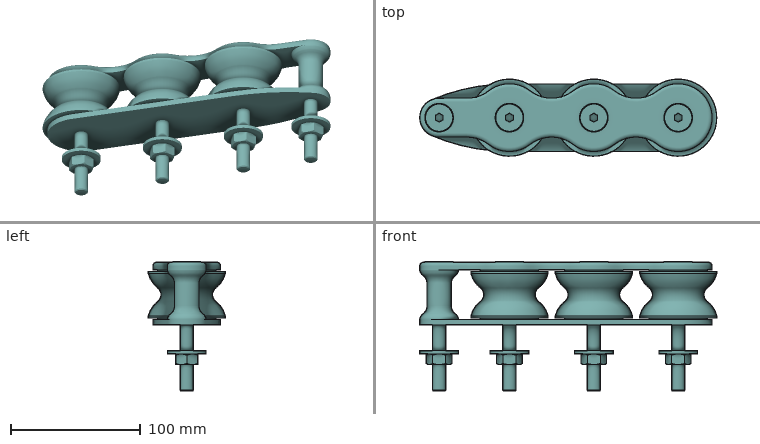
import cadquery as cq
import math

end_diameter = 30.0
roller_diameter = 59.5
overall_length = 228.8
roller_pitch = 65.0
roller_count = 3
pin_x = end_diameter / 2
last_roller_x = overall_length - roller_diameter / 2
roller_xs = [last_roller_x - roller_pitch * i for i in reversed(range(roller_count))]
first_roller_x = roller_xs[0]
stud_xs = [pin_x] + roller_xs

plate_half_width = 26.0
base_thickness = 4.1
plate_gap = 38.2
cover_thickness = 6.0
cover_edge_radius = 3.0
cover_bottom = base_thickness + plate_gap
cover_top = cover_bottom + cover_thickness
gap_middle = base_thickness + plate_gap / 2

roller_height = 36.0
rim_height = 1.5
waist_diameter = 39.8
waist_radius = 6.9
waist_angle = math.radians(53)
spacer_diameter = 45.0

pin_diameter = 19.0
pin_straight_height = 18.0
pin_cove_radius = 6.9
pin_flange_height = 0.5
pin_cove_angle = math.radians(54)

stud_diameter = 10.3
stud_length = 51.0
stud_tip_chamfer = 0.7
head_diameter = 22.0
head_rise = 0.7
head_edge_chamfer = 0.5
socket_across_flats = 6.0
socket_depth = 4.5
washer_thickness = 2.5
washer_top = -20.0
nut_across_corners = 20.0
nut_height = 8.2
nut_chamfer_width = 1.4
nut_chamfer_height = 1.0


def across_corners(across_flats):
    return across_flats / math.cos(math.pi / 6)


def base_plate():
    """Flat plate whose sides sweep from the rollers' width down to the guide pin end."""
    end_radius = end_diameter / 2
    run = first_roller_x - pin_x
    width_drop = plate_half_width - end_radius
    side_radius = (run**2 + width_drop**2) / (2 * width_drop)
    side_radius += end_radius
    side_center_y = plate_half_width - side_radius
    lean = math.atan2(run, -side_center_y)
    touch_x = pin_x - end_radius * math.sin(lean)
    touch_y = end_radius * math.cos(lean)
    side_mid_x = first_roller_x - side_radius * math.sin(lean / 2)
    side_mid_y = side_center_y + side_radius * math.cos(lean / 2)
    return (
        cq.Workplane("XY")
        .moveTo(touch_x, touch_y)
        .threePointArc((side_mid_x, side_mid_y), (first_roller_x, plate_half_width))
        .lineTo(last_roller_x, plate_half_width)
        .threePointArc((last_roller_x + plate_half_width, 0), (last_roller_x, -plate_half_width))
        .lineTo(first_roller_x, -plate_half_width)
        .threePointArc((side_mid_x, -side_mid_y), (touch_x, -touch_y))
        .threePointArc((pin_x - end_radius, 0), (touch_x, touch_y))
        .close()
        .extrude(base_thickness)
    )


def cover_plate():
    """Plate with a round lobe over each roller, waisted to the pin end's width between them."""
    neck = end_diameter / 2
    half_pitch = roller_pitch / 2
    waist_arc = (half_pitch**2 + neck**2 - plate_half_width**2) / (2 * (plate_half_width - neck))
    reach = plate_half_width / (plate_half_width + waist_arc)
    touch_dx = half_pitch * reach
    touch_y = (neck + waist_arc) * reach
    half_arc = math.atan2(half_pitch, neck + waist_arc) / 2
    waist_mid_dx = waist_arc * math.sin(half_arc)
    waist_mid_y = neck + waist_arc * (1 - math.cos(half_arc))

    straight_end = (first_roller_x - half_pitch, neck)
    last_touch = (last_roller_x - touch_dx, touch_y)
    arcs = [((straight_end[0] + waist_mid_dx, waist_mid_y), (first_roller_x - touch_dx, touch_y))]
    for x in roller_xs[:-1]:
        arcs.append(((x, plate_half_width), (x + touch_dx, touch_y)))
        arcs.append(((x + half_pitch, neck), (x + roller_pitch - touch_dx, touch_y)))

    outline = cq.Workplane("XY", origin=(0, 0, cover_bottom)).moveTo(pin_x, neck)
    outline = outline.lineTo(*straight_end)
    for middle, end in arcs:
        outline = outline.threePointArc(middle, end)
    outline = outline.threePointArc(
        (last_roller_x + plate_half_width, 0), (last_touch[0], -last_touch[1])
    )
    starts = [straight_end] + [end for middle, end in arcs[:-1]]
    for (middle, end), start in reversed(list(zip(arcs, starts))):
        outline = outline.threePointArc((middle[0], -middle[1]), (start[0], -start[1]))
    outline = outline.lineTo(pin_x, -neck).threePointArc((pin_x - neck, 0), (pin_x, neck))
    return outline.close().extrude(cover_thickness).faces(">Z").edges().fillet(cover_edge_radius)


def turned_spool(x, waist_r, straight, cove_r, cove_angle, flange_r, flange_start, half_height):
    """Turned body, symmetric about the middle of the gap: straight waist (half height, may be 0),
    concave cove, convex flare tangent to the cove, and a straight flange."""
    cove_middle = (
        waist_r + cove_r * (1 - math.cos(cove_angle / 2)),
        straight + cove_r * math.sin(cove_angle / 2),
    )
    cove_end = (
        waist_r + cove_r * (1 - math.cos(cove_angle)),
        straight + cove_r * math.sin(cove_angle),
    )
    flare_dr = flange_r - cove_end[0]
    flare_dz = flange_start - cove_end[1]
    half_turn = math.atan2(flare_dz, flare_dr) - (math.pi / 2 - cove_angle)
    bulge = math.tan(half_turn / 2) / 2
    flare_middle = (
        cove_end[0] + flare_dr / 2 + bulge * flare_dz,
        cove_end[1] + flare_dz / 2 - bulge * flare_dr,
    )
    flare_end = (flange_r, flange_start)

    def below(point):
        return (point[0], -point[1])

    profile = (
        cq.Workplane("XZ")
        .moveTo(0, -half_height)
        .lineTo(flange_r, -half_height)
        .lineTo(*below(flare_end))
        .threePointArc(below(flare_middle), below(cove_end))
    )
    if straight > 0:
        profile = (
            profile.threePointArc(below(cove_middle), (waist_r, -straight))
            .lineTo(waist_r, straight)
            .threePointArc(cove_middle, cove_end)
        )
    else:
        profile = profile.threePointArc((waist_r, 0), cove_end)
    return (
        profile.threePointArc(flare_middle, flare_end)
        .lineTo(flange_r, half_height)
        .lineTo(0, half_height)
        .close()
        .revolve(360, (0, 0, 0), (0, 1, 0))
        .translate((x, 0, gap_middle))
    )


def roller(x):
    """Grooved roller held off both plates by a thin spacer disc at each end."""
    body = turned_spool(
        x,
        waist_r=waist_diameter / 2,
        straight=0,
        cove_r=waist_radius,
        cove_angle=waist_angle,
        flange_r=roller_diameter / 2,
        flange_start=roller_height / 2 - rim_height,
        half_height=roller_height / 2,
    )
    spacers = (
        cq.Workplane("XY", origin=(x, 0, base_thickness))
        .circle(spacer_diameter / 2)
        .extrude((plate_gap - roller_height) / 2)
    )
    top_spacer = spacers.translate((0, 0, (plate_gap + roller_height) / 2))
    return body.union(spacers).union(top_spacer)


def guide_pin():
    """Slim spool standing between the narrow ends of the plates."""
    return turned_spool(
        pin_x,
        waist_r=pin_diameter / 2,
        straight=pin_straight_height / 2,
        cove_r=pin_cove_radius,
        cove_angle=pin_cove_angle,
        flange_r=end_diameter / 2,
        flange_start=plate_gap / 2 - pin_flange_height,
        half_height=plate_gap / 2,
    )


def hex_nut():
    """Nut with corners on the X axis, its ends chamfered in the round."""
    prism = cq.Workplane("XY").polygon(6, nut_across_corners).extrude(nut_height)
    corner_r = nut_across_corners / 2
    face_r = corner_r - nut_chamfer_width
    chamfered_round = (
        cq.Workplane("XZ")
        .polyline(
            [
                (0, 0),
                (face_r, 0),
                (corner_r, nut_chamfer_height),
                (corner_r, nut_height - nut_chamfer_height),
                (face_r, nut_height),
                (0, nut_height),
            ]
        )
        .close()
        .revolve(360, (0, 0, 0), (0, 1, 0))
    )
    return prism.intersect(chamfered_round)


def stud(x):
    """Stud below the base plate, with its washer and nut."""
    rod = (
        cq.Workplane("XY")
        .circle(stud_diameter / 2)
        .extrude(-stud_length)
        .faces("<Z")
        .chamfer(stud_tip_chamfer)
    )
    washer = (
        cq.Workplane("XY", origin=(0, 0, washer_top))
        .circle(end_diameter / 2)
        .extrude(-washer_thickness)
    )
    nut = hex_nut().translate((0, 0, washer_top - washer_thickness - nut_height))
    return rod.union(washer).union(nut).translate((x, 0, 0))


def bolt_head(x):
    """Low round head on the cover plate."""
    return (
        cq.Workplane("XY", origin=(x, 0, cover_top))
        .circle(head_diameter / 2)
        .extrude(head_rise)
        .faces(">Z")
        .chamfer(head_edge_chamfer)
    )


def hex_socket(x):
    """Socket cut in a bolt head, with corners pointing along Y."""
    return (
        cq.Workplane("XY", origin=(x, 0, cover_top + head_rise))
        .transformed(rotate=(0, 0, 90))
        .polygon(6, across_corners(socket_across_flats))
        .extrude(-socket_depth)
    )


result = base_plate()
for body in [cover_plate(), guide_pin()] + [roller(x) for x in roller_xs]:
    result = result.union(body, clean=False)
for stud_x in stud_xs:
    result = result.union(stud(stud_x), clean=False).union(bolt_head(stud_x), clean=False)
    result = result.cut(hex_socket(stud_x), clean=False)